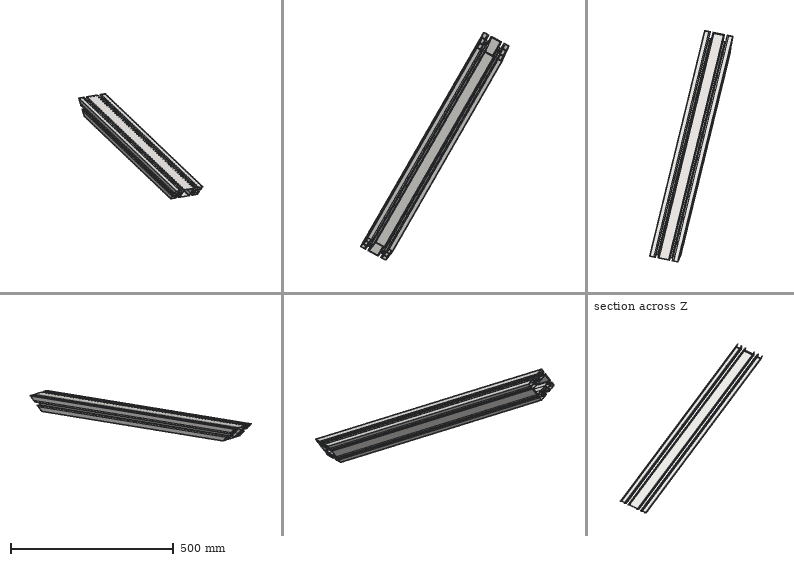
import cadquery as cq

LENGTH = 778.32
HEIGHT = 45.01
WIDTH = 89.99
HALF_HEIGHT = HEIGHT / 2
HALF_WIDTH = WIDTH / 2
CELL_OFFSET = HALF_WIDTH - HALF_HEIGHT

SLOT_OPENING = 8.2
LIP_THICKNESS = 4.0
SLOT_WIDTH_AT_LIP = 13.0
SLOT_WIDTH_AT_FLOOR = 12.0
SLOT_DEPTH = 16.1
LIP_RADIUS = 0.85
FLOOR_GROOVE_WIDTH = 1.8
FLOOR_GROOVE_DEPTH = 0.8

CENTRE_HOLLOW_WIDTH = 29.5
CENTRE_HOLLOW_HEIGHT = 39.4
CORE_BORE = 6.0
OUTER_WALL = 1.5
CORNER_HOLLOW = 12.0

CORNER_RADIUS = 1.8


def bar(section):
    """Extrude a closed YZ outline over the full length, centred on X = 0."""
    return section.extrude(LENGTH / 2, both=True)


def blank():
    """Solid bar with rounded long edges."""
    outline = cq.Workplane("YZ").rect(WIDTH, HEIGHT)
    return bar(outline).edges("|X").fillet(CORNER_RADIUS)


def t_slot(centre_y, turn):
    """T-slot with rounded lips and a V-groove in its floor.

    It enters a cell from the +Z face and is then turned about the cell axis.
    """
    mouth = HALF_HEIGHT
    under_lip = HALF_HEIGHT - LIP_THICKNESS
    floor = HALF_HEIGHT - SLOT_DEPTH
    half_opening = SLOT_OPENING / 2
    half_at_lip = SLOT_WIDTH_AT_LIP / 2
    half_at_floor = SLOT_WIDTH_AT_FLOOR / 2
    half_groove = FLOOR_GROOVE_WIDTH / 2
    slot = bar(
        cq.Workplane("YZ")
        .moveTo(half_opening + LIP_RADIUS, mouth)
        .radiusArc((half_opening, mouth - LIP_RADIUS), -LIP_RADIUS)
        .lineTo(half_opening, under_lip)
        .lineTo(half_at_lip, under_lip)
        .lineTo(half_at_floor, floor)
        .lineTo(half_groove, floor)
        .lineTo(0, floor - FLOOR_GROOVE_DEPTH)
        .lineTo(-half_groove, floor)
        .lineTo(-half_at_floor, floor)
        .lineTo(-half_at_lip, under_lip)
        .lineTo(-half_opening, under_lip)
        .lineTo(-half_opening, mouth - LIP_RADIUS)
        .radiusArc((-half_opening - LIP_RADIUS, mouth), -LIP_RADIUS)
        .close()
    )
    return slot.rotate((0, 0, 0), (1, 0, 0), turn).translate((0, centre_y, 0))


def core_bore(centre_y):
    """Round bore through the core of a cell."""
    return bar(cq.Workplane("YZ").center(centre_y, 0).circle(CORE_BORE / 2))


def corner_hollow(side_y, side_z):
    """Square hollow in one corner of the profile, picked by the signs of Y and Z."""
    inset = OUTER_WALL + CORNER_HOLLOW / 2
    centre_y = side_y * (HALF_WIDTH - inset)
    centre_z = side_z * (HALF_HEIGHT - inset)
    return bar(cq.Workplane("YZ").center(centre_y, centre_z).rect(CORNER_HOLLOW, CORNER_HOLLOW))


def centre_hollow():
    """Rectangular hollow between the two cells."""
    return bar(cq.Workplane("YZ").rect(CENTRE_HOLLOW_WIDTH, CENTRE_HOLLOW_HEIGHT))


def mitre_envelope():
    """Trapezoid in XZ: full length on top, cut back at 45 degrees below."""
    top_half = LENGTH / 2
    bottom_half = top_half - HEIGHT
    outline = [
        (-top_half, HALF_HEIGHT),
        (top_half, HALF_HEIGHT),
        (bottom_half, -HALF_HEIGHT),
        (-bottom_half, -HALF_HEIGHT),
    ]
    return cq.Workplane("XZ").polyline(outline).close().extrude(HALF_WIDTH, both=True)


profile = blank().cut(centre_hollow())
for side in (-1, 1):
    cell_y = side * CELL_OFFSET
    profile = profile.cut(core_bore(cell_y))
    turn_outwards = -90 * side
    for turn in (0, 180, turn_outwards):
        profile = profile.cut(t_slot(cell_y, turn))
    for side_z in (-1, 1):
        profile = profile.cut(corner_hollow(side, side_z))

result = profile.intersect(mitre_envelope())